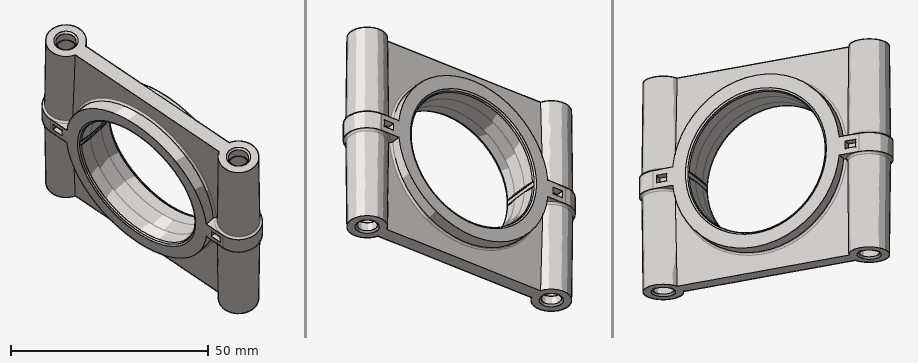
import cadquery as cq
import math

length = 70.0
depth = 12.2
height = 57.1
half_depth = depth / 2
half_height = height / 2

collar_radius = half_depth
collar_half_height = 2.5
bolt_x = length / 2 - collar_radius
column_foot_radius = 5.45
column_top_radius = 5.2
foot_fillet = 0.55
bolt_hole_radius = 2.45
counterbore_radius = 2.6
counterbore_depth = 2.9
bolt_chamfer = 0.5

web_edge_half_thickness = 1.95
web_middle_half_thickness = 2.95

ring_radius = 23.5
ring_fillet = 0.55

mouth_radius = 19.8
mouth_inner_radius = 19.3
mouth_depth = 0.3
flare_radius = 19.1
flare_depth = 0.8
waist_radius = 18.9
waist_half_width = 2.1

groove_radius = 19.25
groove_half_height = 0.8

pocket_outer_x = 28.0
pocket_inner_x = 25.05
pocket_height = 2.0
pocket_depth = 2.1


def make_half_web():
    """Upper half of the plate spanning the columns, tapered in thickness."""
    return (
        cq.Workplane("YZ")
        .polyline([
            (-web_edge_half_thickness, half_height),
            (web_edge_half_thickness, half_height),
            (web_middle_half_thickness, 0),
            (-web_middle_half_thickness, 0),
        ])
        .close()
        .extrude(bolt_x, both=True)
    )


def make_half_ring():
    """Upper half disc that becomes the ring once the bore is cut."""
    return (
        cq.Workplane("XZ")
        .moveTo(-ring_radius, 0)
        .threePointArc((0, ring_radius), (ring_radius, 0))
        .close()
        .extrude(half_depth, both=True)
    )


def is_ring_root(edge):
    """True for an edge where the ring wall meets the web."""
    center = edge.positionAt(0.5)
    on_wall = abs(math.hypot(center.x, center.z) - ring_radius) < 0.01
    return on_wall and abs(center.y) < web_middle_half_thickness


def make_half_body():
    """Half web and half ring joined with a fillet along the ring root."""
    body = make_half_web().union(make_half_ring())
    roots = [edge for edge in body.edges().vals() if is_ring_root(edge)]
    return body.newObject(roots).fillet(ring_fillet)


def make_half_collar():
    """Upper half of the round-ended bar joining the two columns."""
    return cq.Workplane("XY").slot2D(length, depth).extrude(collar_half_height)


def make_upper_column():
    """Tapered column standing on the collar, with a fillet around its foot."""
    fillet_top = collar_half_height + foot_fillet
    arc_offset = foot_fillet * (1 - math.sqrt(0.5))
    return (
        cq.Workplane("XZ")
        .lineTo(column_foot_radius + foot_fillet, 0)
        .lineTo(column_foot_radius + foot_fillet, collar_half_height)
        .threePointArc(
            (column_foot_radius + arc_offset, collar_half_height + arc_offset),
            (column_foot_radius, fillet_top),
        )
        .lineTo(column_top_radius, half_height)
        .lineTo(0, half_height)
        .close()
        .revolve(360, (0, 0, 0), (0, 1, 0))
    )


def make_bolt_hole():
    """Through hole with a shallow chamfered counterbore at each end."""
    mouth = counterbore_radius + bolt_chamfer
    half_profile = [
        (bolt_hole_radius, half_height - counterbore_depth),
        (counterbore_radius, half_height - counterbore_depth),
        (counterbore_radius, half_height - bolt_chamfer),
        (mouth, half_height),
    ]
    mirrored = [(radius, -z) for radius, z in reversed(half_profile)]
    return (
        cq.Workplane("XZ")
        .polyline([(0, -half_height)] + mirrored + half_profile + [(0, half_height)])
        .close()
        .revolve(360, (0, 0, 0), (0, 1, 0))
    )


def make_bore():
    """Bore flaring from a straight waist to a chamfered mouth on each face."""
    half_profile = [
        (waist_radius, waist_half_width),
        (flare_radius, half_depth - flare_depth),
        (mouth_inner_radius, half_depth - mouth_depth),
        (mouth_radius, half_depth),
    ]
    mirrored = [(radius, -y) for radius, y in reversed(half_profile)]
    return (
        cq.Workplane("XY")
        .polyline([(0, -half_depth)] + mirrored + half_profile + [(0, half_depth)])
        .close()
        .revolve(360, (0, 0, 0), (0, 1, 0))
    )


def make_split_groove():
    """Shallow groove along the bore wall at both ends of the split line."""
    return cq.Workplane("XY").box(2 * groove_radius, depth, 2 * groove_half_height)


def make_pocket(side, face):
    """Rectangular pocket; side is the X sign and face is the Y sign."""
    center_x = side * (pocket_outer_x + pocket_inner_x) / 2
    center_y = face * (half_depth - pocket_depth / 2)
    return (
        cq.Workplane("XY")
        .box(pocket_outer_x - pocket_inner_x, pocket_depth, pocket_height)
        .translate((center_x, center_y, 0))
    )


def make_half_clamp():
    """Everything above the split plane, before the groove and pockets are cut."""
    half = make_half_body().cut(make_bore())
    half = half.union(make_half_collar().cut(make_bore()))
    column = make_upper_column()
    hole = make_bolt_hole()
    for side in (-1, 1):
        bolt_axis = (side * bolt_x, 0, 0)
        half = half.union(column.translate(bolt_axis))
        half = half.cut(hole.translate(bolt_axis))
    return half


upper_half = make_half_clamp()
result = upper_half.union(upper_half.mirror("XY"))
result = result.cut(make_split_groove())
for side in (-1, 1):
    for face in (-1, 1):
        result = result.cut(make_pocket(side, face))